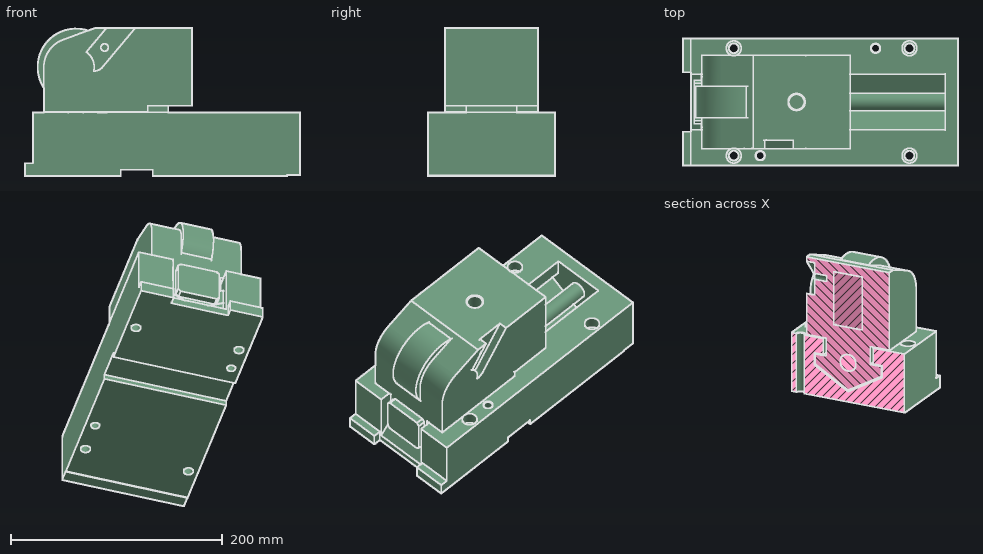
import cadquery as cq
import math


BASE_LENGTH = 260.0
BASE_WIDTH = 120.0
BASE_HEIGHT = 60.0
FOOT_LENGTH = 7.5
FOOT_HEIGHT = 12.2
FOOT_GAP = 56.0
END_WALL_X = 247.8
UNDERSIDE_RELIEF = 0.8
KEYWAY_START = 90.7
KEYWAY_WIDTH = 30.0
KEYWAY_DEPTH = 5.7

GUIDE_START = 17.5
GUIDE_OPENING = 52.5
GUIDE_WIDTH = 71.8
LIP_BOTTOM = 43.5
VEE_ANGLE = math.radians(30)
VEE_APEX = 11.0
MOUTH_FLOOR_FRONT = 8.0
MOUTH_FLOOR_REAR = 17.0

HOLE_ROW_Y = 50.7
BOLT_XS = (48.0, 214.0)
BOLT_HOLE_DIAMETER = 9.0
COUNTERBORE_DIAMETER = 14.0
COUNTERBORE_DEPTH = 13.0
DOWEL_PLACES = ((182.0, HOLE_ROW_Y), (73.0, -HOLE_ROW_Y))
DOWEL_DIAMETER = 8.0
DOWEL_CHAMFER = 0.5

RUN_CLEARANCE = 0.5
VEE_CLEARANCE = 1.0
SLIDE_FRONT = 18.0
SLIDE_REAR = 158.0
SLIDE_WIDTH = 88.1
SLIDE_TOP = 140.0
SLIDE_BOTTOM = BASE_HEIGHT + RUN_CLEARANCE
OVERHANG_START = 116.0
OVERHANG_BOTTOM = 66.3
NECK_WIDTH = 47.3
TAIL_REAR = 135.5
NOSE_RADIUS = 27.3
NOSE_CENTRE_Z = 103.0
RAMP_END_X = 66.3

ROLLER_RADIUS = 36.5
ROLLER_WIDTH = 30.0
ROLLER_X = 48.4
ROLLER_Z = NOSE_CENTRE_Z

POCKET_ANGLE = 50.0
POCKET_WIDTH = 20.8
POCKET_DEPTH = 8.0
POCKET_END_X = 65.3
POCKET_END_Z = 109.5
POCKET_LENGTH = 78.0
AXLE_BOSS_RADIUS = 17.2
SCREW_DISTANCE = 15.5
SCREW_DIAMETER = 7.0
SCREW_DEPTH = 13.0
LIFT_HOLE_X = 107.5
LIFT_HOLE_DIAMETER = 14.5
LIFT_HOLE_DEPTH = 26.0
LIFT_HOLE_CHAMFER = 0.8

ROD_DIAMETER = 16.0
ROD_Z = 40.0
HEAD_FRONT = 10.7
HEAD_WIDTH = 40.8
HEAD_BOTTOM = 22.5
HEAD_TOP = 59.3
HEAD_CHAMFER = 2.5


def box(x0, x1, width, z0, z1):
    """Block between two X and two Z values, centred on the symmetry plane."""
    return cq.Workplane("XY").box(x1 - x0, width, z1 - z0, centered=(False, True, False)).translate((x0, 0, z0))


def across(x, z, radius, width):
    """Cylinder along Y, centred on the symmetry plane."""
    return cq.Workplane("XZ", origin=(x, width / 2, z)).circle(radius).extrude(width)


def vee_bar(x0, x1, width, apex, top):
    """Bar along X with a flat top, upright sides and a V-shaped underside."""
    half = width / 2
    shoulder = apex + half * math.tan(VEE_ANGLE)
    outline = [(-half, top), (-half, shoulder), (0, apex), (half, shoulder), (half, top)]
    return cq.Workplane("YZ").workplane(offset=x0).polyline(outline).close().extrude(x1 - x0)


def countersunk_hole(x, y, top, diameter, chamfer, depth):
    """Vertical hole cutter with a 45 degree chamfer at its mouth."""
    radius = diameter / 2
    outline = [
        (0, 0),
        (radius + chamfer, 0),
        (radius, -chamfer),
        (radius, -depth),
        (0, -depth),
    ]
    cutter = cq.Workplane("XZ").polyline(outline).close().revolve(360, (0, 0), (0, 1))
    return cutter.translate((x, y, top))


def make_base():
    base = box(FOOT_LENGTH, BASE_LENGTH, BASE_WIDTH, 0, BASE_HEIGHT)
    feet = box(0, FOOT_LENGTH, BASE_WIDTH, 0, FOOT_HEIGHT)
    base = base.union(feet.cut(box(0, FOOT_LENGTH, FOOT_GAP, 0, FOOT_HEIGHT)))

    base = base.cut(box(KEYWAY_START, KEYWAY_START + KEYWAY_WIDTH, BASE_WIDTH, 0, KEYWAY_DEPTH))
    base = base.cut(box(END_WALL_X, BASE_LENGTH, BASE_WIDTH, 0, UNDERSIDE_RELIEF))

    base = base.cut(box(GUIDE_START, END_WALL_X, GUIDE_OPENING, LIP_BOTTOM, BASE_HEIGHT))
    base = base.cut(vee_bar(GUIDE_START, END_WALL_X, GUIDE_WIDTH, VEE_APEX, LIP_BOTTOM))

    mouth = [
        (FOOT_LENGTH, BASE_HEIGHT),
        (FOOT_LENGTH, MOUTH_FLOOR_FRONT),
        (GUIDE_START, MOUTH_FLOOR_REAR),
        (GUIDE_START, BASE_HEIGHT),
    ]
    base = base.cut(cq.Workplane("XZ").polyline(mouth).close().extrude(GUIDE_OPENING / 2, both=True))

    bolt_places = [(x, y) for x in BOLT_XS for y in (-HOLE_ROW_Y, HOLE_ROW_Y)]
    top = cq.Workplane("XY").workplane(offset=BASE_HEIGHT).pushPoints(bolt_places)
    base = base.cut(top.circle(BOLT_HOLE_DIAMETER / 2).extrude(-BASE_HEIGHT))
    base = base.cut(top.circle(COUNTERBORE_DIAMETER / 2).extrude(-COUNTERBORE_DEPTH))

    for x, y in DOWEL_PLACES:
        base = base.cut(countersunk_hole(x, y, BASE_HEIGHT, DOWEL_DIAMETER, DOWEL_CHAMFER, BASE_HEIGHT))
    return base


def slide_body():
    """Upper block: rounded nose, ramp up to the flat top, raised underside at the rear."""
    centre_x = SLIDE_FRONT + NOSE_RADIUS
    run = RAMP_END_X - centre_x
    rise = SLIDE_TOP - NOSE_CENTRE_Z
    to_tangent = math.atan2(rise, run) + math.acos(NOSE_RADIUS / math.hypot(run, rise))
    middle = (math.pi + to_tangent) / 2

    def on_nose(angle):
        return centre_x + NOSE_RADIUS * math.cos(angle), NOSE_CENTRE_Z + NOSE_RADIUS * math.sin(angle)

    outline = (
        cq.Workplane("XZ")
        .moveTo(SLIDE_FRONT, SLIDE_BOTTOM)
        .lineTo(SLIDE_FRONT, NOSE_CENTRE_Z)
        .threePointArc(on_nose(middle), on_nose(to_tangent))
        .lineTo(RAMP_END_X, SLIDE_TOP)
        .lineTo(SLIDE_REAR, SLIDE_TOP)
        .lineTo(SLIDE_REAR, OVERHANG_BOTTOM)
        .lineTo(OVERHANG_START, OVERHANG_BOTTOM)
        .lineTo(OVERHANG_START, SLIDE_BOTTOM)
        .close()
    )
    return outline.extrude(SLIDE_WIDTH / 2, both=True)


def slide_tail():
    """Neck and V-bottomed flange that run in the guideway."""
    flange_top = LIP_BOTTOM - RUN_CLEARANCE
    flange_width = GUIDE_WIDTH - 2 * RUN_CLEARANCE
    flange = vee_bar(SLIDE_FRONT, TAIL_REAR, flange_width, VEE_APEX + VEE_CLEARANCE, flange_top)
    return flange.union(box(SLIDE_FRONT, TAIL_REAR, NECK_WIDTH, flange_top, OVERHANG_BOTTOM))


def side_pocket():
    """Slanted round-ended pocket that stops at the boss around the roller axis, with a screw hole."""
    side = cq.Workplane("XZ", origin=(POCKET_END_X, -SLIDE_WIDTH / 2, POCKET_END_Z))
    side = side.transformed(rotate=(0, 0, POCKET_ANGLE))
    pocket = side.center(POCKET_LENGTH / 2, 0).rect(POCKET_LENGTH, POCKET_WIDTH).extrude(-POCKET_DEPTH)
    pocket = pocket.union(side.circle(POCKET_WIDTH / 2).extrude(-POCKET_DEPTH))
    pocket = pocket.cut(across(ROLLER_X, ROLLER_Z, AXLE_BOSS_RADIUS, SLIDE_WIDTH))
    screw = side.center(SCREW_DISTANCE, 0).circle(SCREW_DIAMETER / 2)
    return pocket.union(screw.extrude(-POCKET_DEPTH - SCREW_DEPTH))


def make_roller():
    return across(ROLLER_X, ROLLER_Z, ROLLER_RADIUS, ROLLER_WIDTH)


def make_rod():
    head = box(HEAD_FRONT, SLIDE_FRONT, HEAD_WIDTH, HEAD_BOTTOM, HEAD_TOP)
    head = head.edges("|X").chamfer(HEAD_CHAMFER)
    shank = cq.Workplane("YZ").workplane(offset=SLIDE_FRONT).center(0, ROD_Z)
    return head.union(shank.circle(ROD_DIAMETER / 2).extrude(END_WALL_X - SLIDE_FRONT))


def make_slide(roller, rod):
    slide = slide_body().union(slide_tail())
    slide = slide.cut(side_pocket())
    slide = slide.cut(
        countersunk_hole(LIFT_HOLE_X, 0, SLIDE_TOP, LIFT_HOLE_DIAMETER, LIFT_HOLE_CHAMFER, LIFT_HOLE_DEPTH)
    )
    return slide.cut(roller).cut(rod)


base = make_base()
roller = make_roller()
rod = make_rod()
slide = make_slide(roller, rod)

bodies = [base, slide, roller, rod]
result = cq.Compound.makeCompound([body.solids().val() for body in bodies])